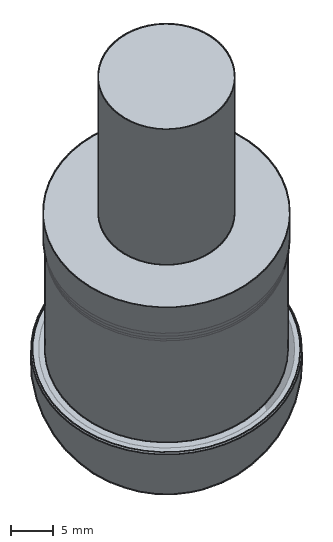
import cadquery as cq
import math

total_height = 68.0
stem_radius = 8.0
stem_length = 25.0

collar_radius = 14.5
barrel_radius = 14.3
collar_height = 4.75
step_height = 1.6
step_round_height = 0.6
step_fillet_height = 0.4
step_round_depth = 0.1
step_fillet_depth = 0.035
round_bulge = 0.02
fillet_bulge = 0.01

cap_radius = 16.0
cap_height = 17.75
cap_edge_size = 0.2
lip_width = 0.75
lip_rise = 0.1

shoulder_z = total_height - stem_length
step_top_z = shoulder_z - collar_height
step_bottom_z = step_top_z - step_height
barrel_bottom_z = cap_radius


def revolve_about_z(profile):
    """Turn a closed radius-height profile into a solid around the Z axis."""
    return profile.close().revolve(360, (0, 0, 0), (0, 1, 0))


def make_plunger():
    """Solid stem, collar and barrel, with a shallow rounded step between collar and barrel."""
    fillet_top_radius = barrel_radius + step_fillet_depth
    round_bottom_z = step_top_z - step_round_height
    fillet_top_z = step_bottom_z + step_fillet_height
    profile = (
        cq.Workplane("XZ")
        .moveTo(0, barrel_bottom_z)
        .lineTo(barrel_radius, barrel_bottom_z)
        .lineTo(barrel_radius, step_bottom_z)
        .threePointArc(
            (barrel_radius + fillet_bulge, step_bottom_z + step_fillet_height / 2),
            (fillet_top_radius, fillet_top_z),
        )
        .lineTo(collar_radius - step_round_depth, round_bottom_z)
        .threePointArc(
            (collar_radius - round_bulge, step_top_z - step_round_height / 2),
            (collar_radius, step_top_z),
        )
        .lineTo(collar_radius, shoulder_z)
        .lineTo(stem_radius, shoulder_z)
        .lineTo(stem_radius, total_height)
        .lineTo(0, total_height)
    )
    return revolve_about_z(profile)


def make_cap():
    """Ball-shaped cap cut off above its equator, with a bevelled rim and a lip rising to the barrel."""
    bevel_bottom_z = cap_height - cap_edge_size
    bevel_bottom_radius = math.sqrt(cap_radius**2 - (bevel_bottom_z - cap_radius) ** 2)
    profile = (
        cq.Workplane("XZ")
        .moveTo(0, 0)
        .threePointArc((cap_radius, cap_radius), (bevel_bottom_radius, bevel_bottom_z))
        .lineTo(bevel_bottom_radius - cap_edge_size, cap_height)
        .lineTo(barrel_radius + lip_width, cap_height)
        .lineTo(barrel_radius, cap_height + lip_rise)
        .lineTo(barrel_radius, barrel_bottom_z)
        .lineTo(0, barrel_bottom_z)
    )
    return revolve_about_z(profile)


plunger = make_plunger()
cap = make_cap()

result = cq.Compound.makeCompound([plunger.val(), cap.val()])